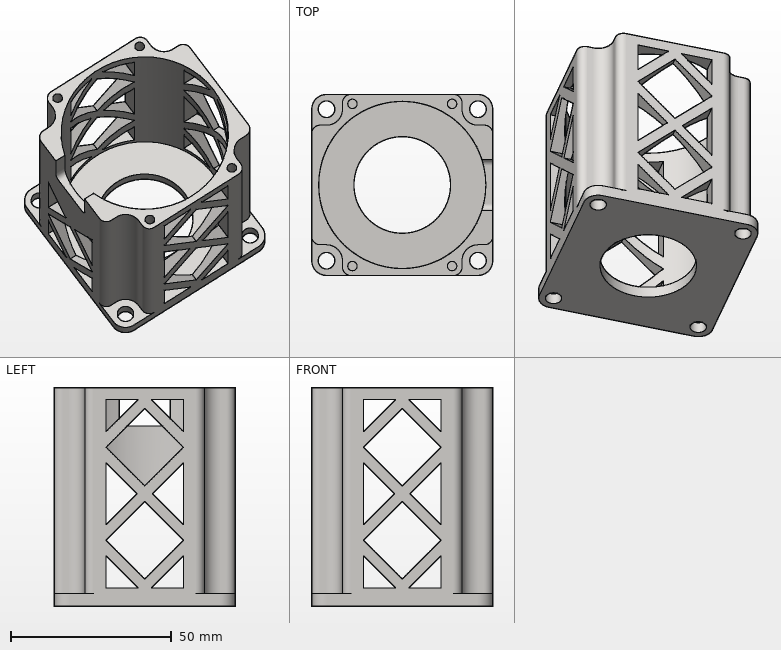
import cadquery as cq
import math

side = 56.4
height = 68.0
half_side = side / 2
plate_thickness = 4.0
bolt_spacing = 47.1
bolt_diameter = 5.1
centre_hole_diameter = 30.0
plate_corner_radius = (side - bolt_spacing) / 2

bore_diameter = 52.0
relief_radius = 4.95
relief_edge_radius = 2.65
relief_size = plate_corner_radius + relief_radius

screw_diameter = 2.9
screw_depth = 10.0
screw_spacing_x = 31.0
screw_spacing_y = 50.45

window_bottom = 5.7
window_top = 64.25
strut_width = 3.5
diamond_side = 17.0
window_width = diamond_side * math.sqrt(2)
diamond_pitch = (diamond_side + strut_width) * math.sqrt(2)
window_middle = (window_top + window_bottom) / 2
lower_diamond = window_middle - diamond_pitch / 2
upper_diamond = window_middle + diamond_pitch / 2

notch_width = 15.8
notch_bottom = 56.1
notch_corner_radius = 2.0


def make_plate():
    return (
        cq.Workplane("XY")
        .rect(side, side)
        .extrude(plate_thickness)
        .edges("|Z")
        .fillet(plate_corner_radius)
    )


def corner_relief(sign_x, sign_y):
    """Tool removing one vertical corner of the body above the plate."""
    wall = half_side - relief_size
    flat_end = half_side - relief_edge_radius
    face_tangent = wall - relief_edge_radius
    bolt = bolt_spacing / 2
    convex_step = relief_edge_radius * math.sqrt(0.5)
    concave_step = relief_radius * math.sqrt(0.5)

    def at(x, y):
        return (sign_x * x, sign_y * y)

    return (
        cq.Workplane("XY", origin=(0, 0, plate_thickness))
        .moveTo(*at(face_tangent, half_side))
        .threePointArc(at(face_tangent + convex_step, flat_end + convex_step), at(wall, flat_end))
        .lineTo(*at(wall, bolt))
        .threePointArc(at(bolt - concave_step, bolt - concave_step), at(bolt, wall))
        .lineTo(*at(flat_end, wall))
        .threePointArc(at(flat_end + convex_step, face_tangent + convex_step), at(half_side, face_tangent))
        .lineTo(*at(half_side, half_side))
        .close()
        .extrude(height - plate_thickness)
    )


def make_body():
    base = cq.Workplane("XY", origin=(0, 0, plate_thickness))
    body_height = height - plate_thickness
    body = base.rect(side, side).extrude(body_height)
    for sign_x in (-1, 1):
        for sign_y in (-1, 1):
            body = body.cut(corner_relief(sign_x, sign_y))
    bore = base.circle(bore_diameter / 2).extrude(body_height)
    return body.cut(bore)


def lattice_prism(height_above_base, width, size_z, angle=0):
    """Rectangular prism from the axis plane out through the -Y wall, turned about its own axis."""
    return (
        cq.Workplane("XZ")
        .transformed(offset=(0, height_above_base, 0), rotate=(0, 0, angle))
        .rect(width, size_z)
        .extrude(half_side)
    )


def lattice_openings(top, diamond_heights):
    """Side triangles up to the given height, plus a diamond at each of the given heights."""
    openings = lattice_prism((window_bottom + top) / 2, window_width, top - window_bottom)
    outer_side = diamond_side + 2 * strut_width
    for z in (lower_diamond, upper_diamond):
        openings = openings.cut(lattice_prism(z, outer_side, outer_side, 45))
    for z in diamond_heights:
        openings = openings.union(lattice_prism(z, diamond_side, diamond_side, 45))
    return openings


def make_notch():
    return (
        cq.Workplane("XY")
        .box(half_side, notch_width, height - notch_bottom, centered=(False, True, False))
        .edges("|X and <Z")
        .fillet(notch_corner_radius)
        .translate((0, 0, notch_bottom))
    )


def cut_lattice(part):
    full_lattice = lattice_openings(window_top, (lower_diamond, upper_diamond))
    for turn in (0, 180, 270):
        part = part.cut(full_lattice.rotate((0, 0, 0), (0, 0, 1), turn))
    lower_lattice = lattice_openings(upper_diamond, (lower_diamond,))
    return part.cut(lower_lattice.rotate((0, 0, 0), (0, 0, 1), 90))


def vertical_holes(spacing_x, spacing_y, diameter, bottom, top):
    """Tools for four round holes on the corners of a rectangle."""
    return (
        cq.Workplane("XY", origin=(0, 0, bottom))
        .rect(spacing_x, spacing_y, forConstruction=True)
        .vertices()
        .circle(diameter / 2)
        .extrude(top - bottom)
    )


centre_hole = cq.Workplane("XY").circle(centre_hole_diameter / 2).extrude(plate_thickness)

result = make_plate().union(make_body())
result = cut_lattice(result)
result = result.cut(make_notch())
result = result.cut(centre_hole)
result = result.cut(vertical_holes(bolt_spacing, bolt_spacing, bolt_diameter, 0, plate_thickness))
result = result.cut(
    vertical_holes(screw_spacing_x, screw_spacing_y, screw_diameter, height - screw_depth, height)
)